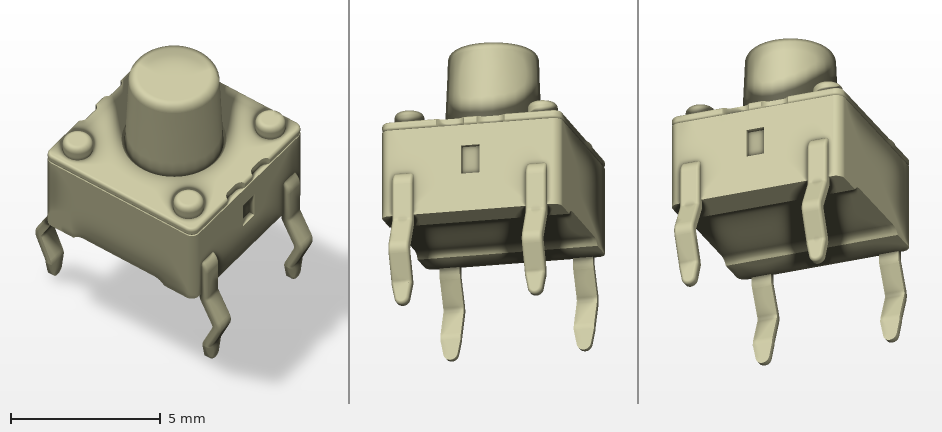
import cadquery as cq
import math

body_side = 6.2
corner_radius = 0.3

housing_height = 3.0
relief_depth = 0.2
relief_length = 3.74
relief_arc_radius = 0.5
window_width = 0.64
window_height = 0.98
window_bottom = 1.3
window_depth = 0.2

cover_thickness = 0.3
cover_edge_radius = 0.1
hole_radius = 1.66
hole_chamfer = 0.09
notch_length = 1.0
notch_depth = 0.2
notch_arc_radius = 0.3
notch_offset = 0.7

stud_radius = 0.5
stud_height = 0.5
stud_edge_radius = 0.2
stud_offset = 2.3

button_top = 6.4
button_base_radius = 1.66
button_draft = 2.54
button_edge_radius = 0.3

leg_width = 0.7
leg_thickness = 0.3
leg_bend_radius = 0.35
leg_edge_radius = 0.1
leg_offset = 2.3

leg_upper_x = 3.165
leg_shoulder_z = -0.24
leg_knee_x = 3.733
leg_knee_z = -1.31
leg_lower_x = 3.28
leg_ankle_z = -2.38

leg_top_bend_z = 1.05
blade_top_z = -2.46
leg_tip_z = -3.18
leg_tip_radius = 0.25

half_side = body_side / 2
cover_top = housing_height + cover_thickness
button_height = button_top - housing_height
SIDES = (-1, 1)


def rounded_path(start, corners, end, radius):
    """Open path in the XZ plane with a tangent arc in place of each corner."""
    path = cq.Workplane("XZ").moveTo(*start)
    stops = [start, *corners, end]
    for before, corner, after in zip(stops, corners, stops[2:]):
        heading_in = math.atan2(corner[1] - before[1], corner[0] - before[0])
        heading_out = math.atan2(after[1] - corner[1], after[0] - corner[0])
        turn = heading_out - heading_in
        setback = radius * math.tan(abs(turn) / 2)
        arc_start = (
            corner[0] - setback * math.cos(heading_in),
            corner[1] - setback * math.sin(heading_in),
        )
        arc_end = (
            corner[0] + setback * math.cos(heading_out),
            corner[1] + setback * math.sin(heading_out),
        )
        path = path.lineTo(*arc_start).radiusArc(arc_end, math.copysign(radius, -turn))
    return path.lineTo(*end)


def make_leg_strip():
    """Bent strip from the top of the blade up into the housing wall."""
    path = rounded_path(
        start=(-leg_lower_x, blade_top_z),
        corners=[
            (-leg_lower_x, leg_ankle_z),
            (-leg_knee_x, leg_knee_z),
            (-leg_upper_x, leg_shoulder_z),
        ],
        end=(-leg_upper_x, leg_top_bend_z),
        radius=leg_bend_radius,
    )
    bend_end = (leg_bend_radius - leg_upper_x, leg_top_bend_z + leg_bend_radius)
    path = path.radiusArc(bend_end, leg_bend_radius)

    outer_x = -leg_lower_x - leg_thickness / 2
    inner_x = -leg_lower_x + leg_thickness / 2
    flat_half = leg_width / 2 - leg_edge_radius
    side_start_x = outer_x + leg_edge_radius
    section = (
        cq.Workplane("XY", origin=(0, 0, blade_top_z))
        .moveTo(inner_x, -leg_width / 2)
        .lineTo(side_start_x, -leg_width / 2)
        .radiusArc((outer_x, -flat_half), leg_edge_radius)
        .lineTo(outer_x, flat_half)
        .radiusArc((side_start_x, leg_width / 2), leg_edge_radius)
        .lineTo(inner_x, leg_width / 2)
        .close()
    )
    return section.sweep(path)


def make_leg_blade():
    """Tapered end of the leg with a round tip and a rounded outward edge."""
    half_width = leg_width / 2
    tip_center_z = leg_tip_z + leg_tip_radius
    rise = blade_top_z - tip_center_z
    taper = math.atan2(half_width, rise) - math.asin(leg_tip_radius / math.hypot(half_width, rise))
    tangent_y = leg_tip_radius * math.cos(taper)
    tangent_z = tip_center_z - leg_tip_radius * math.sin(taper)
    blade = (
        cq.Workplane("YZ", origin=(-leg_lower_x - leg_thickness / 2, 0, 0))
        .moveTo(-half_width, blade_top_z)
        .lineTo(-tangent_y, tangent_z)
        .threePointArc((0, leg_tip_z), (tangent_y, tangent_z))
        .lineTo(half_width, blade_top_z)
        .close()
        .extrude(leg_thickness)
    )
    return blade.faces("<X").edges("not >Z").fillet(leg_edge_radius)


def make_legs():
    leg = make_leg_strip().union(make_leg_blade())
    legs = []
    for y_side in SIDES:
        left_leg = leg.translate((0, y_side * leg_offset, 0))
        legs.append(left_leg)
        legs.append(left_leg.mirror("YZ"))
    return legs


def make_relief():
    """Shallow clearance with arched ends, running through the housing in Y."""
    half_length = relief_length / 2
    arc_run = math.sqrt(relief_arc_radius**2 - (relief_arc_radius - relief_depth) ** 2)
    roof_half = half_length - arc_run
    return (
        cq.Workplane("XZ")
        .moveTo(-half_length, 0)
        .radiusArc((-roof_half, relief_depth), relief_arc_radius)
        .lineTo(roof_half, relief_depth)
        .radiusArc((half_length, 0), relief_arc_radius)
        .close()
        .extrude(half_side, both=True)
    )


def make_housing(legs):
    housing = cq.Workplane("XY").rect(body_side, body_side).extrude(housing_height)
    housing = housing.edges("|Z").fillet(corner_radius)
    housing = housing.cut(make_relief())
    window = cq.Workplane("XY").rect(2 * window_depth, window_width).extrude(window_height)
    for side in SIDES:
        housing = housing.cut(window.translate((side * half_side, 0, window_bottom)))
    for leg in legs:
        housing = housing.cut(leg)
    return housing


def make_cover():
    """Cover plate with a rounded rim, four studs and a chamfered hole for the button."""
    cover = (
        cq.Workplane("XY", origin=(0, 0, housing_height))
        .rect(body_side, body_side)
        .extrude(cover_thickness)
    )
    cover = cover.edges("|Z").fillet(corner_radius)
    cover = cover.faces("<Z or >Z").edges().fillet(cover_edge_radius)
    cover = cover.faces(">Z").workplane(origin=(0, 0, cover_top)).hole(2 * hole_radius)
    cover = cover.faces(">Z").edges(cq.selectors.RadiusNthSelector(-1)).chamfer(hole_chamfer)

    notch = (
        cq.Workplane("XY", origin=(0, 0, housing_height))
        .slot2D(notch_length, 2 * notch_arc_radius, angle=90)
        .extrude(cover_thickness)
    )
    notch_x = half_side - notch_depth + notch_arc_radius
    stud = (
        cq.Workplane("XY", origin=(0, 0, cover_top))
        .circle(stud_radius)
        .extrude(stud_height)
        .faces(">Z")
        .edges()
        .fillet(stud_edge_radius)
    )
    for x_side in SIDES:
        for y_side in SIDES:
            cover = cover.cut(notch.translate((x_side * notch_x, y_side * notch_offset, 0)))
            cover = cover.union(stud.translate((x_side * stud_offset, y_side * stud_offset, 0)))
    return cover


def make_button():
    """Tapered round plunger standing on the housing inside the cover hole."""
    return (
        cq.Workplane("XY", origin=(0, 0, housing_height))
        .circle(button_base_radius)
        .extrude(button_height, taper=button_draft)
        .faces(">Z")
        .edges()
        .fillet(button_edge_radius)
    )


legs = make_legs()
housing = make_housing(legs)
cover = make_cover()
button = make_button()

result = cq.Compound.makeCompound(
    [housing.val(), cover.val(), button.val(), *[leg.val() for leg in legs]]
)